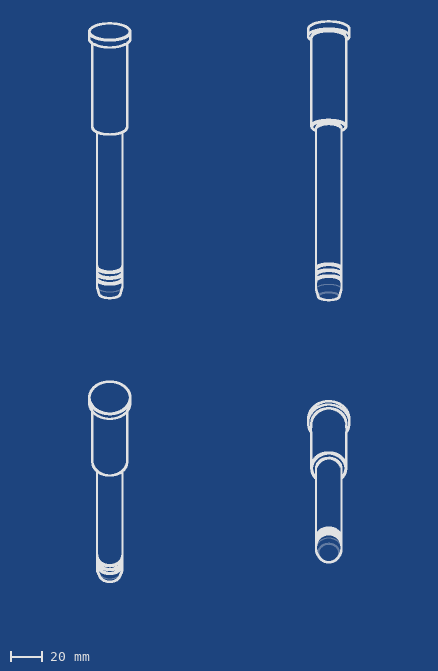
import cadquery as cq
import math

total_length = 180.0
head_diameter = 26.0
collar_diameter = 22.0
shaft_diameter = 16.0

head_height = 5.0
head_chamfer = 0.4
collar_length = 60.5
neck_length = 0.5
collar_chamfer = 0.5

relief_length = 1.0
relief_depth = 0.5

groove_width = 1.0
groove_depth = 0.27
groove_count = 3
groove_pitch = 4.0
lowest_groove_height = 10.6

nose_length = 5.0
nose_angle = math.radians(15)
tip_fillet = 0.5

head_radius = head_diameter / 2
collar_radius = collar_diameter / 2
shaft_radius = shaft_diameter / 2
head_bottom = total_length - head_height
collar_top = head_bottom - neck_length
collar_bottom = collar_top - collar_length
relief_bottom = collar_bottom - relief_length
tip_radius = shaft_radius - nose_length * math.tan(nose_angle)


def cylinder(radius, bottom, top):
    """Solid cylinder on the Z axis between two heights."""
    return cq.Workplane("XY").workplane(offset=bottom).circle(radius).extrude(top - bottom)


def make_shaft():
    """Shaft with a tapered nose and a rounded tip edge."""
    profile = [
        (0, 0),
        (tip_radius, 0),
        (shaft_radius, nose_length),
        (shaft_radius, relief_bottom),
        (0, relief_bottom),
    ]
    shaft = cq.Workplane("XZ").polyline(profile).close().revolve(360, (0, 0), (0, 1))
    return shaft.faces("<Z").edges().fillet(tip_fillet)


def make_ring_groove(height):
    """Ring to cut a V-shaped groove centred at the given height."""
    profile = [
        (shaft_radius, height - groove_width / 2),
        (shaft_radius - groove_depth, height),
        (shaft_radius, height + groove_width / 2),
    ]
    return cq.Workplane("XZ").polyline(profile).close().revolve(360, (0, 0), (0, 1))


head = cylinder(head_radius, head_bottom, total_length).faces(">Z").edges().chamfer(head_chamfer)
collar = cylinder(collar_radius, collar_bottom, collar_top).faces("<Z or >Z").edges().chamfer(collar_chamfer)
neck = cylinder(collar_radius - collar_chamfer, collar_top, head_bottom)
relief = cylinder(shaft_radius - relief_depth, relief_bottom, collar_bottom)

result = make_shaft().union(relief).union(collar).union(neck).union(head)
for index in range(groove_count):
    result = result.cut(make_ring_groove(lowest_groove_height + index * groove_pitch))